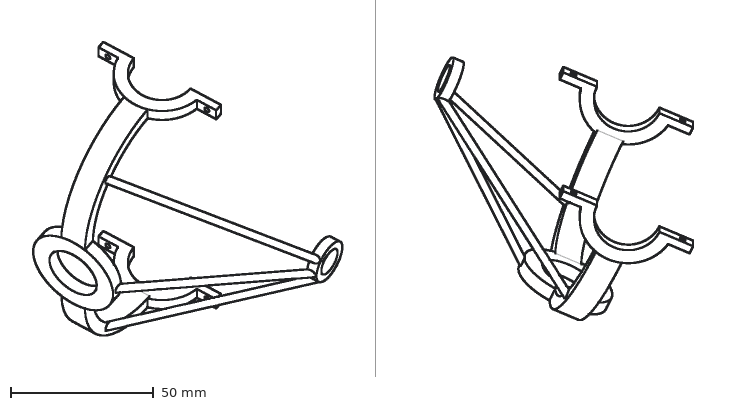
import cadquery as cq
import math


half_height = 55.0
thickness = 5.0
clamp_outer_radius = 17.0
clamp_inner_radius = clamp_outer_radius - thickness
ear_reach = 25.0
ear_thickness = 3.0
ear_hole_diameter = 2.0
ear_hole_x = 21.0

depth = 55.0
arch_width = 10.0
arch_outer_radius = 40.0
arch_inner_radius = arch_outer_radius - thickness
hub_outer_radius = 17.0
hub_inner_radius = 10.0

tail_outer_radius = 8.0
tail_inner_radius = 5.0
tail_width = 4.0
tail_end_x = 71.0
strut_radius = 1.5
strut_inset = 1.0
strut_tip_x = tail_end_x - strut_inset
strut_tip_radius = 6.7
strut_angle = 45.0
hub_strut_x = hub_outer_radius - strut_inset
hub_strut_root_radius = depth - thickness / 2
side_strut_x = arch_width / 2 - strut_inset
side_strut_root_radius = 58.2


def make_clamp(z_bottom):
    """Half-round saddle with two drilled ears."""
    bounds = cq.Workplane("XY").box(
        2 * ear_reach, clamp_outer_radius, thickness, centered=(True, False, False)
    ).translate((0, -clamp_outer_radius, z_bottom))
    ears = cq.Workplane("XY").box(
        2 * ear_reach, ear_thickness, thickness, centered=(True, False, False)
    ).translate((0, -ear_thickness, z_bottom))
    saddle = cq.Workplane("XY", origin=(0, 0, z_bottom)).circle(clamp_outer_radius).extrude(thickness)
    bore = cq.Workplane("XY", origin=(0, 0, z_bottom)).circle(clamp_inner_radius).extrude(thickness)
    holes = (
        cq.Workplane("XZ", origin=(0, 0, z_bottom + thickness / 2))
        .pushPoints([(-ear_hole_x, 0), (ear_hole_x, 0)])
        .circle(ear_hole_diameter / 2)
        .extrude(ear_thickness)
    )
    return saddle.intersect(bounds).union(ears).cut(bore).cut(holes)


def arch_profile(y_front, z_top, radius):
    """D-shaped outline in the YZ plane, open side on the mating plane."""
    y_center = radius - y_front
    z_center = z_top - radius
    diagonal = radius * math.cos(math.radians(45))
    return (
        cq.Workplane("YZ", origin=(-arch_width / 2, 0, 0))
        .moveTo(0, z_top)
        .lineTo(y_center, z_top)
        .threePointArc((y_center - diagonal, z_center + diagonal), (-y_front, z_center))
        .lineTo(-y_front, -z_center)
        .threePointArc((y_center - diagonal, -z_center - diagonal), (y_center, -z_top))
        .lineTo(0, -z_top)
        .close()
        .extrude(arch_width)
    )


def make_arch():
    """Curved strap joining both clamps, clear of the clamp bores and of the hub bore."""
    outer = arch_profile(depth, half_height, arch_outer_radius)
    inner = arch_profile(depth - thickness, half_height - thickness, arch_inner_radius)
    clamp_bore = cq.Workplane("XY").circle(clamp_inner_radius).extrude(half_height, both=True)
    hub_bore = cq.Workplane("XZ").circle(hub_inner_radius).extrude(depth)
    return outer.cut(inner).cut(clamp_bore).cut(hub_bore)


def make_hub():
    """Flat ring at the front of the arch."""
    return (
        cq.Workplane("XZ", origin=(0, thickness - depth, 0))
        .circle(hub_outer_radius)
        .circle(hub_inner_radius)
        .extrude(thickness)
    )


def make_tail_ring():
    """Small ring whose axis lies along X."""
    return (
        cq.Workplane("YZ", origin=(tail_end_x - tail_width, 0, 0))
        .circle(tail_outer_radius)
        .circle(tail_inner_radius)
        .extrude(tail_width)
    )


def make_strut(root_x, root_radius, angle):
    """Round rod lying in a plane through the tail axis, turned by angle from -Y toward +Z."""
    radial_y = -math.cos(math.radians(angle))
    radial_z = math.sin(math.radians(angle))
    root = cq.Vector(root_x, root_radius * radial_y, root_radius * radial_z)
    tip = cq.Vector(strut_tip_x, strut_tip_radius * radial_y, strut_tip_radius * radial_z)
    axis = tip - root
    return cq.Workplane(cq.Solid.makeCylinder(strut_radius, axis.Length, root, axis))


result = make_arch().union(make_hub()).union(make_tail_ring())
for clamp_bottom in (-half_height, half_height - thickness):
    result = result.union(make_clamp(clamp_bottom))
result = result.union(make_strut(hub_strut_x, hub_strut_root_radius, 0))
for side_angle in (-strut_angle, strut_angle):
    result = result.union(make_strut(side_strut_x, side_strut_root_radius, side_angle))